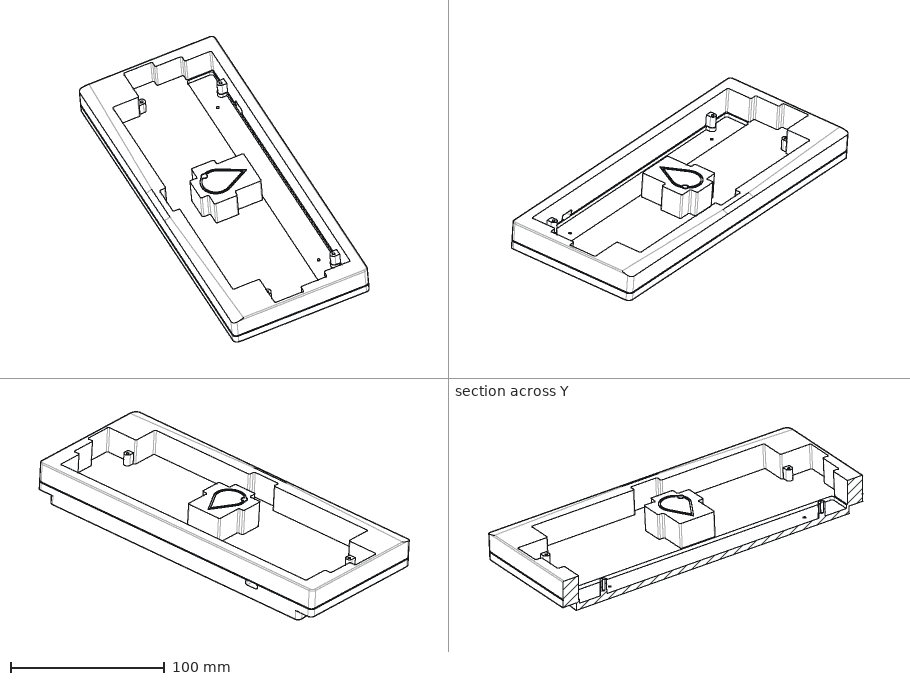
import cadquery as cq
import math


tilt = 4.0
width = 235.75
depth = 98.04
underside = -0.35
height = 19.9
corner_radius = 3.0
rim_fillet = 0.8

foot_half = 107.4
ground_drop = depth * math.tan(math.radians(tilt))

bevel_drop = 1.75
bevel_end_run = 8.0
bevel_middle_run = 4.0
bevel_middle_half = 13.9

seam_height = 5.5
seam_width = 0.5
seam_depth = 0.25

key_pitch = 19.05
well_back = 90.5
well_shoulder = 71.5
well_side_step = well_shoulder - key_pitch
well_front_step = 31.7
well_front = well_front_step - key_pitch
well_tab_front = 8.0
well_back_half = 105.6
well_shoulder_half = 110.5
well_side_half = 115.2
well_front_half = 91.5
well_tab_half = 10.45
well_floor = 1.7
well_corner = 1.0

trough_inset = 0.8
trough_front = 71.0
trough_floor = -1.1
trough_corner = 2.0

block_back = 70.1
block_wide_back = 50.9
block_wide_front = 34.4
block_front = 28.8
block_back_half = 13.65
block_wide_half = 17.8
block_front_half = 8.65
block_corner = 1.0

drop_center = 44.2
drop_radius = 10.7
drop_tip = 65.8
drop_groove_width = 1.2
drop_groove_depth = 0.5
notch_radius = 2.0
notch_angle = 212.0

post_radius = 2.4
post_top = 9.8
collar_width = 0.3
back_post_x = 85.8
back_post_y = 87.1
front_post_x = 95.4
front_post_y = 34.9
screw_diameter = 1.7
screw_depth = 8.0
floor_hole_x = 76.5
floor_hole_y = 80.0
floor_hole_depth = 2.0

port_x = -66.2
port_width = 10.0
port_height = 3.6
port_bottom = well_floor
port_corner = 1.2


def box(x0, x1, y0, y1, z0, z1):
    """Box between two opposite corners."""
    return cq.Workplane("XY").box(x1 - x0, y1 - y0, z1 - z0, centered=False).translate((x0, y0, z0))


def stepped_prism(steps, z0, z1, corner):
    """Prism symmetric about X = 0; steps lists (half width, front Y, back Y) from the back forward."""
    right = []
    for half, y_front, y_back in steps:
        right += [(half, y_back), (half, y_front)]
    left = [(-x, y) for x, y in reversed(right)]
    prism = cq.Workplane("XY").workplane(offset=z0).polyline(right + left).close().extrude(z1 - z0)
    return prism.edges("|Z").fillet(corner)


def rounded_slab(inset, z0, z1):
    """Slab with the body outline moved inward by inset."""
    slab = box(inset - width / 2, width / 2 - inset, inset, depth - inset, z0, z1)
    return slab.edges("|Z").fillet(corner_radius - inset)


def outer_body():
    body = rounded_slab(0, underside, height)
    return body.faces(">Z").edges().fillet(rim_fillet)


def wedge_foot():
    """Wedge whose underside lies flat on the ground once the case is tilted."""
    front = -underside / math.tan(math.radians(tilt))
    side = [(front, underside), (depth, underside), (depth, -ground_drop)]
    wedge = cq.Workplane("YZ").polyline(side).close().extrude(foot_half, both=True)
    return wedge.faces(">Y").edges("|Z").fillet(corner_radius)


def seam_ring():
    z0 = seam_height - seam_width / 2
    z1 = seam_height + seam_width / 2
    outside = box(-width, width, -depth, 2 * depth, z0, z1)
    return outside.cut(rounded_slab(seam_depth, z0, z1))


def bevel_section(x, run):
    """Triangular section of the front bevel at x."""
    points = [(x, 0, height - bevel_drop), (x, run, height), (x, 0, height)]
    return cq.Wire.makePolygon([cq.Vector(*p) for p in points], close=True)


def front_bevel():
    half = width / 2
    stations = [
        (-half, bevel_end_run),
        (-bevel_middle_half, bevel_middle_run),
        (bevel_middle_half, bevel_middle_run),
        (half, bevel_end_run),
    ]
    wires = [bevel_section(x, run) for x, run in stations]
    bevel = cq.Workplane("XY")
    for first, second in zip(wires, wires[1:]):
        bevel = bevel.add(cq.Solid.makeLoft([first, second], True))
    return bevel.combine()


def key_well():
    steps = [
        (well_back_half, well_shoulder, well_back),
        (well_shoulder_half, well_side_step, well_shoulder),
        (well_side_half, well_front_step, well_side_step),
        (well_front_half, well_front, well_front_step),
        (well_tab_half, well_tab_front, well_front),
    ]
    return stepped_prism(steps, well_floor, height, well_corner)


def trough():
    half = well_back_half - trough_inset
    cut = box(-half, half, trough_front, well_back - trough_inset, trough_floor, well_floor)
    return cut.edges("|Z").fillet(trough_corner)


def center_block():
    steps = [
        (block_back_half, block_wide_back, block_back),
        (block_wide_half, block_wide_front, block_wide_back),
        (block_front_half, block_front, block_wide_front),
    ]
    return stepped_prism(steps, well_floor, height, block_corner)


def drop_prism(inset):
    """Drop outline moved inward by inset, sunk into the top of the block."""
    radius = drop_radius - inset
    tip = (drop_tip - drop_center) * radius / drop_radius
    tangent_y = radius ** 2 / tip
    tangent_x = math.sqrt(radius ** 2 - tangent_y ** 2)
    return (
        cq.Workplane("XY")
        .workplane(offset=height - drop_groove_depth)
        .moveTo(0, drop_center + tip)
        .lineTo(tangent_x, drop_center + tangent_y)
        .threePointArc((0, drop_center - radius), (-tangent_x, drop_center + tangent_y))
        .close()
        .extrude(drop_groove_depth)
    )


def drop_groove():
    middle_radius = drop_radius - drop_groove_width
    angle = math.radians(notch_angle)
    notch = (
        cq.Workplane("XY")
        .workplane(offset=height - drop_groove_depth)
        .center(middle_radius * math.cos(angle), drop_center + middle_radius * math.sin(angle))
        .circle(notch_radius)
        .extrude(drop_groove_depth)
    )
    return drop_prism(0).cut(drop_prism(drop_groove_width)).union(notch)


def webbed_post(x, y, wall_y, radius, z0, z1):
    """Round post joined by a web of the same width to the wall at wall_y."""
    post = cq.Workplane("XY").workplane(offset=z0).center(x, y).circle(radius).extrude(z1 - z0)
    return post.union(box(x - radius, x + radius, min(y, wall_y), max(y, wall_y), z0, z1))


def blind_hole(x, y, top, hole_depth):
    hole = cq.Workplane("XY").workplane(offset=top - hole_depth).center(x, y)
    return hole.circle(screw_diameter / 2).extrude(hole_depth)


def cable_port():
    x0 = port_x - port_width / 2
    x1 = x0 + port_width
    port_top = port_bottom + port_height
    port = box(x0, x1, well_back - trough_inset, depth + 1, port_bottom, port_top)
    return port.edges("|Y").fillet(port_corner)


def tilted_onto_ground(level_case):
    tilted = level_case.rotate((0, 0, 0), (1, 0, 0), tilt)
    return tilted.intersect(box(-width, width, -depth, 2 * depth, 0, 2 * depth))


case = outer_body().cut(seam_ring()).cut(front_bevel()).union(wedge_foot())
case = case.cut(key_well()).cut(trough())
case = case.union(center_block()).cut(drop_groove())
for side in (-1, 1):
    back_post = (side * back_post_x, back_post_y)
    front_post = (side * front_post_x, front_post_y)
    collar_radius = post_radius + collar_width
    case = case.union(webbed_post(*back_post, well_back, collar_radius, trough_floor, well_floor))
    case = case.union(webbed_post(*back_post, well_back, post_radius, well_floor, post_top))
    case = case.union(webbed_post(*front_post, well_front_step, post_radius, well_floor, post_top))
    for post in (back_post, front_post):
        case = case.cut(blind_hole(*post, post_top, screw_depth))
    case = case.cut(blind_hole(side * floor_hole_x, floor_hole_y, trough_floor, floor_hole_depth))
case = case.cut(cable_port())

result = tilted_onto_ground(case)